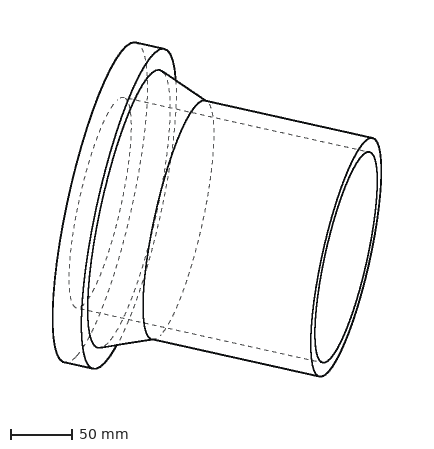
import cadquery as cq

total_length = 210.0
flange_diameter = 268.0
flange_thickness = 24.7
neck_length = 42.3
neck_base_diameter = 232.5
pipe_diameter = 200.0
bore_diameter = 176.3

flange_radius = flange_diameter / 2
neck_base_radius = neck_base_diameter / 2
pipe_radius = pipe_diameter / 2
bore_radius = bore_diameter / 2
neck_end = flange_thickness + neck_length

half_section = [
    (0, bore_radius),
    (0, flange_radius),
    (flange_thickness, flange_radius),
    (flange_thickness, neck_base_radius),
    (neck_end, pipe_radius),
    (total_length, pipe_radius),
    (total_length, bore_radius),
]

result = (
    cq.Workplane("XY")
    .polyline(half_section)
    .close()
    .revolve(360, (0, 0, 0), (1, 0, 0))
)